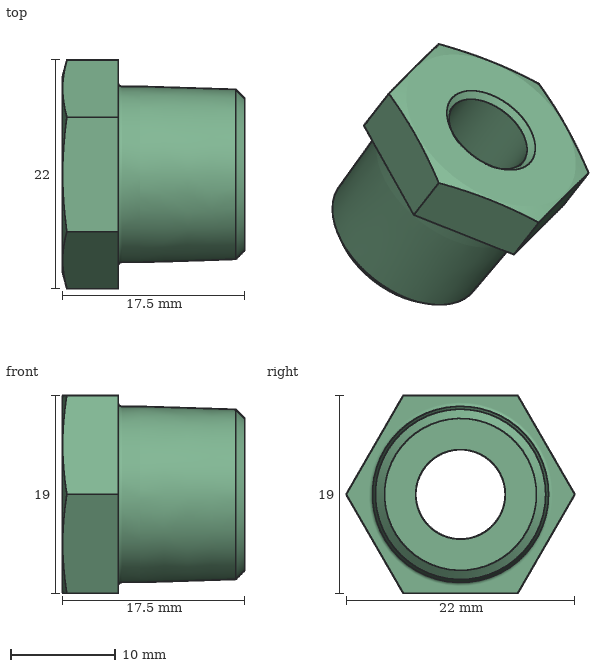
import cadquery as cq
import math

corner_width = 21.95
overall_length = 17.5
head_length = 5.38
neck_diameter = 16.9
neck_end = 7.45
taper_ratio = 1 / 16
tip_chamfer = 0.88
root_fillet = 0.35
face_diameter = 18.6
corner_angle = 15.0
bore_diameter = 8.55
countersink_diameter = 9.72
countersink_angle = 45.0


def revolve_about_x(profile):
    return profile.close().revolve(360, (0, 0, 0), (1, 0, 0))


def hex_head():
    """Hexagon with corners on +Y and -Y, its outer corners cut to a shallow cone."""
    prism = cq.Workplane("YZ").polygon(6, corner_width).extrude(head_length)
    corner_radius = corner_width / 2
    face_radius = face_diameter / 2
    cone_depth = (corner_radius - face_radius) * math.tan(math.radians(corner_angle))
    envelope = revolve_about_x(
        cq.Workplane("XY")
        .lineTo(0, face_radius)
        .lineTo(cone_depth, corner_radius)
        .lineTo(head_length, corner_radius)
        .lineTo(head_length, 0)
    )
    return prism.intersect(envelope)


def spigot():
    """Filleted neck, tapered body and chamfered tip as one turned shape."""
    neck_radius = neck_diameter / 2
    taper_end = overall_length - tip_chamfer
    taper_end_radius = neck_radius - (taper_end - neck_end) * taper_ratio / 2
    return revolve_about_x(
        cq.Workplane("XY")
        .moveTo(head_length, 0)
        .lineTo(head_length, neck_radius + root_fillet)
        .radiusArc((head_length + root_fillet, neck_radius), -root_fillet)
        .lineTo(neck_end, neck_radius)
        .lineTo(taper_end, taper_end_radius)
        .lineTo(overall_length, taper_end_radius - tip_chamfer)
        .lineTo(overall_length, 0)
    )


def bore():
    """Through bore with a countersink in the hexagon's face."""
    bore_radius = bore_diameter / 2
    countersink_radius = countersink_diameter / 2
    countersink_depth = (countersink_radius - bore_radius) / math.tan(math.radians(countersink_angle))
    return revolve_about_x(
        cq.Workplane("XY")
        .lineTo(0, countersink_radius)
        .lineTo(countersink_depth, bore_radius)
        .lineTo(overall_length, bore_radius)
        .lineTo(overall_length, 0)
    )


result = hex_head().union(spigot()).cut(bore())